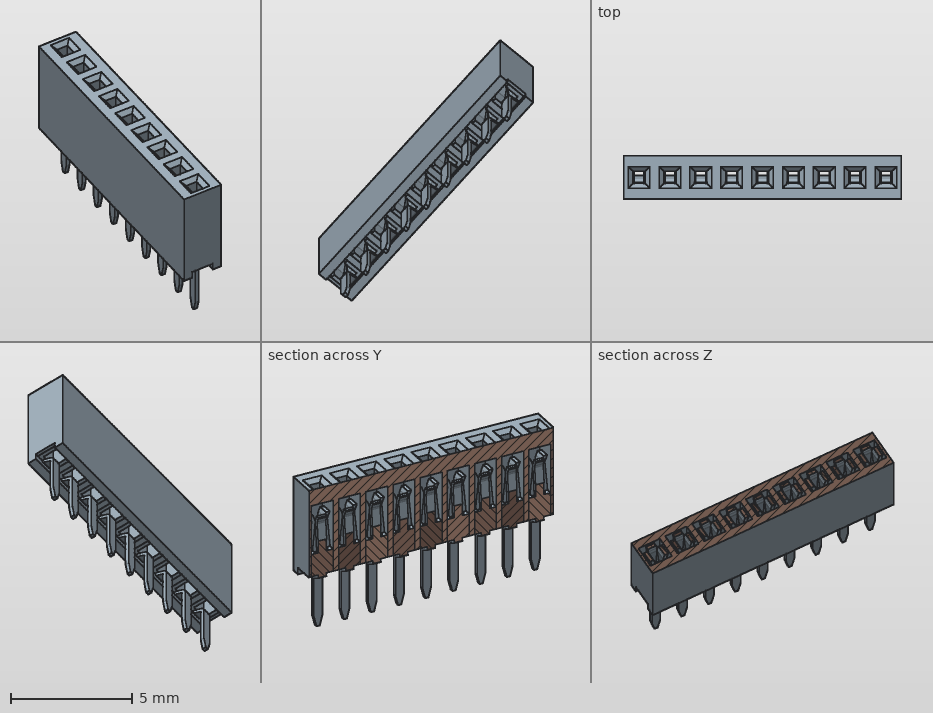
import cadquery as cq
import math


length = 11.43
depth = 1.8
height = 4.4
contact_count = 9
pitch = length / contact_count

slot_width = 1.0
slot_height = 0.31

mouth_width = 0.89
throat_width = 0.5
funnel_depth = 0.2
throat_depth = 0.57
cavity_width = slot_width
cavity_top = height - funnel_depth - throat_depth

sheet = 0.17
strip_width = 0.4
tail_length = 2.3
tip_width = 0.15
tip_length = 0.48
slope_angle = 25.0
bend_z = -0.01

wall_outer = cavity_width / 2
wall_inner = wall_outer - sheet
collar_top = 1.37
pinch = 0.2
pinch_z = 2.74
pinch_inner_radius = sheet
lip = 0.31
spring_top = 3.02
side_spring_front = -0.2
side_spring_back = wall_inner


def row_position(index):
    return (index - (contact_count - 1) / 2) * pitch


def make_opening():
    """Funnel, throat and chamber of one opening, as one cutting body."""
    cavity = (
        cq.Workplane("XY").workplane(offset=slot_height)
        .rect(cavity_width, cavity_width).extrude(cavity_top - slot_height)
    )
    throat = (
        cq.Workplane("XY").workplane(offset=cavity_top)
        .rect(throat_width, throat_width).extrude(throat_depth)
    )
    funnel = (
        cq.Workplane("XY").workplane(offset=height - funnel_depth)
        .rect(throat_width, throat_width)
        .workplane(offset=funnel_depth).rect(mouth_width, mouth_width)
        .loft(ruled=True)
    )
    return cavity.union(throat).union(funnel)


def make_housing():
    block = cq.Workplane("XY").box(length, depth, height, centered=(True, True, False))
    slot = cq.Workplane("XY").box(length, slot_width, slot_height, centered=(True, True, False))
    housing = block.cut(slot)
    opening = make_opening()
    for index in range(contact_count):
        housing = housing.cut(opening.translate((row_position(index), 0, 0)))
    return housing


def make_strip():
    """Tail, sloping part and front wall: one strip with a constant side profile."""
    half_sheet = sheet / 2
    slope = math.radians(slope_angle)
    half_turn = (math.pi / 2 - slope) / 2
    normal_y = sheet * math.sin(slope)
    normal_z = sheet * math.cos(slope)
    bisector_y = sheet * math.cos(half_turn)
    bisector_z = sheet * math.sin(half_turn)

    low_y, low_z = -half_sheet, bend_z
    high_y = -wall_inner
    rise = sheet / math.cos(slope) - (high_y - low_y) * math.tan(slope)
    high_z = low_z + rise

    profile = (
        cq.Workplane("YZ").workplane(offset=-strip_width / 2)
        .moveTo(half_sheet, -tail_length)
        .lineTo(half_sheet, low_z)
        .threePointArc((low_y + bisector_y, low_z + bisector_z), (low_y + normal_y, low_z + normal_z))
        .lineTo(high_y, high_z)
        .lineTo(high_y, collar_top)
        .lineTo(-wall_outer, collar_top)
        .lineTo(-wall_outer, high_z)
        .threePointArc((high_y - bisector_y, high_z - bisector_z), (high_y - normal_y, high_z - normal_z))
        .lineTo(low_y, low_z)
        .lineTo(low_y, -tail_length)
        .close()
    )
    return profile.extrude(strip_width)


def make_tip_cutter(side):
    """Wedge that tapers one edge of the tail tip; side is -1 or 1."""
    edge = side * strip_width / 2
    return (
        cq.Workplane("XZ").workplane(offset=-sheet)
        .moveTo(edge, tip_length - tail_length)
        .lineTo(side * tip_width / 2, -tail_length)
        .lineTo(edge, -tail_length)
        .close().extrude(2 * sheet)
    )


def make_collar():
    """U-shaped base of the springs, open at the back."""
    collar_height = collar_top - slot_height
    wall_length = wall_outer + side_spring_back
    outside = (
        cq.Workplane("XY").box(2 * wall_outer, wall_length, collar_height, centered=(True, False, False))
        .translate((0, -wall_outer, slot_height))
    )
    inside = (
        cq.Workplane("XY").box(2 * wall_inner, wall_length, collar_height, centered=(True, False, False))
        .translate((0, -wall_inner, slot_height))
    )
    return outside.cut(inside)


def make_spring(start_x, end_x):
    """Front spring from start_x to end_x: leans inward from the collar, then flares out to a lip."""
    spring = (
        cq.Workplane("YZ").workplane(offset=start_x)
        .moveTo(-wall_inner, collar_top)
        .lineTo(-pinch, pinch_z)
        .lineTo(-lip, spring_top)
        .lineTo(-lip - sheet, spring_top)
        .lineTo(-pinch - sheet, pinch_z)
        .lineTo(-wall_outer, collar_top)
        .close().extrude(end_x - start_x)
    )
    middle_x = (start_x + end_x) / 2
    bend_inside = cq.selectors.NearestToPointSelector((middle_x, -pinch - sheet, pinch_z))
    bend_outside = cq.selectors.NearestToPointSelector((middle_x, -pinch, pinch_z))
    spring = spring.edges(bend_inside).fillet(pinch_inner_radius)
    return spring.edges(bend_outside).fillet(pinch_inner_radius + sheet)


def make_contact():
    front_spring = make_spring(-strip_width / 2, strip_width / 2)
    right_spring = make_spring(side_spring_front, side_spring_back).rotate((0, 0, 0), (0, 0, 1), 90)
    left_spring = right_spring.mirror("YZ")
    contact = make_strip().union(make_collar())
    for spring in (front_spring, right_spring, left_spring):
        contact = contact.union(spring)
    for side in (-1, 1):
        contact = contact.cut(make_tip_cutter(side))
    return contact


housing = make_housing()
contact = make_contact().solids()
contacts = [contact.translate((row_position(index), 0, 0)).val() for index in range(contact_count)]

result = cq.Compound.makeCompound([housing.val(), *contacts])